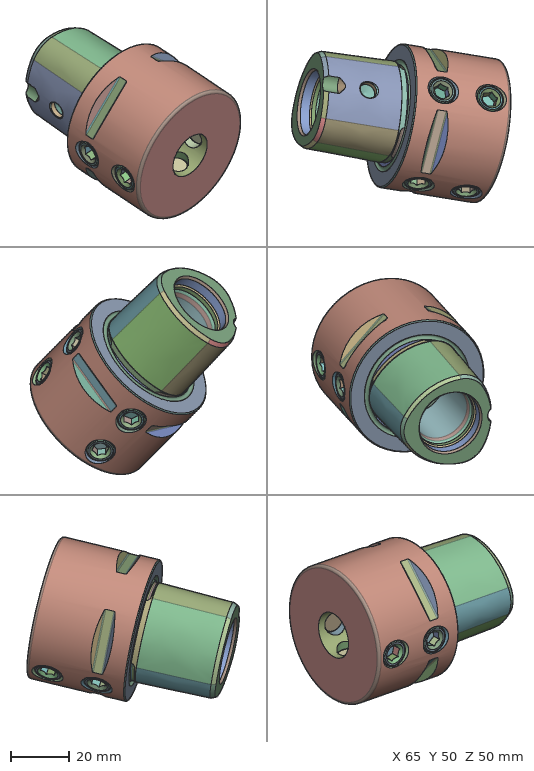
import cadquery as cq
import math

FLANGE_RADIUS = 25.0
FLANGE_START = 30.0
TOTAL_LENGTH = 65.0
FRONT_CHAMFER = 0.4
BACK_ROUND = 1.0

LOBE_OFFSET = 7.9
LOBE_RADIUS = 10.75
LOBE_ANGLES = (60, 180, 300)
LOBE_HALF_ANGLE = 30
FLANK_RADIUS = LOBE_RADIUS + 2 * LOBE_OFFSET * math.cos(math.radians(LOBE_HALF_ANGLE))
FLANK_DISTANCE = FLANK_RADIUS - LOBE_OFFSET
TAPER_ANGLE = math.degrees(math.atan(1 / 40))
GAUGE_X = 28.0
TIP_CHAMFER_LENGTH = 1.6
TIP_CHAMFER_DEPTH = 0.75
NECK_STEP = 0.15

UNDERCUT_INNER_RADIUS = 17.75
UNDERCUT_OUTER_RADIUS = 19.5
UNDERCUT_ROUND = (UNDERCUT_OUTER_RADIUS - UNDERCUT_INNER_RADIUS) / 2

RELIEF_START_X = GAUGE_X
RELIEF_START_RADIUS = 18.6
RELIEF_CONE_END_X = 28.7
RELIEF_CONE_END_RADIUS = 17.85
RELIEF_LAND_X = 29.4
RELIEF_LAND_RADIUS = 17.65

MOUTH_RADIUS = 11.7
MOUTH_CHAMFER = (1.0, 11.2)
LEAD_END = (4.3, 11.2)
SHOULDER_END = (4.8, 10.68)
COLLAR_END = (6.3, 10.68)
THROAT_START = (7.4, 10.2)
THROAT_END = (9.15, 9.9)
STEP_X = FLANGE_START
BORE_RADIUS = 8.25

KEY_NOTCH_RADIUS = 3.45
KEY_NOTCH_Y = -17.3
KEY_NOTCH_LENGTH = 5.4
KEY_NOTCH_POINT_HALF_ANGLE = 45
SIDE_HOLE_RADIUS = 2.95
SIDE_HOLE_X = 16.0
SIDE_HOLE_FLOOR_Y = -14.0
SIDE_HOLE_POINT_HALF_ANGLE = 59
SIDE_HOLE_CHAMFER_Y = -15.8

SLOT_X = 40.0
SLOT_FLOOR_RADIUS = 22.15
SLOT_FLOOR_WIDTH = 3.5
SLOT_WALL_ANGLE = 30
SLOT_FLOOR_ROUND = 0.5
SLOT_ANGLES = (45, 135, 225, 315)

SCREW_XS = (40.0, 57.5)
SCREW_ANGLES = (90, 180, 270)
SCREW_RADIUS = 4.75
SCREW_TOP = 24.4
SCREW_END = 9.5
SCREW_CHAMFER = 0.45
HEX_ACROSS_FLATS = 5.0
HEX_DEPTH = 4.0
HEX_TURNS = (40, 16)
HEX_MOUTH_RADIUS = 3.65
HEX_MOUTH_DEPTH = 2.0
COUNTERSINK_RADIUS = 5.03


def polar(radius, angle):
    """Point at an angle measured from -Y toward +Z."""
    turn = math.radians(angle)
    return (-radius * math.cos(turn), radius * math.sin(turn))


def shank_profile(x, inset):
    """Six-arc polygon at position x, with every arc moved inward by the inset."""
    lobe_radius = LOBE_RADIUS - inset
    joint_along = lobe_radius * math.cos(math.radians(LOBE_HALF_ANGLE))
    joint_across = lobe_radius * math.sin(math.radians(LOBE_HALF_ANGLE))
    joint_radius = math.hypot(LOBE_OFFSET + joint_along, joint_across)
    joint_angle = math.degrees(math.atan2(joint_across, LOBE_OFFSET + joint_along))
    lobe_tip = LOBE_OFFSET + lobe_radius
    flank_middle = FLANK_DISTANCE - inset
    profile = cq.Workplane("YZ", origin=(x, 0, 0))
    profile = profile.moveTo(*polar(joint_radius, LOBE_ANGLES[0] - joint_angle))
    for lobe in LOBE_ANGLES:
        profile = profile.threePointArc(polar(lobe_tip, lobe), polar(joint_radius, lobe + joint_angle))
        next_start = polar(joint_radius, lobe + 120 - joint_angle)
        profile = profile.threePointArc(polar(flank_middle, lobe + 60), next_start)
    return profile.close()


def revolve_about_x(profile):
    """Solid of revolution of a closed X-radius outline about the X axis."""
    return profile.close().revolve(360, (0, 0, 0), (1, 0, 0))


def make_shank():
    taper_length = GAUGE_X - TIP_CHAMFER_LENGTH
    tip_angle = math.degrees(math.atan2(TIP_CHAMFER_DEPTH, TIP_CHAMFER_LENGTH))
    neck = shank_profile(GAUGE_X, NECK_STEP).extrude(FLANGE_START - GAUGE_X)
    relief = revolve_about_x(
        cq.Workplane("XY")
        .moveTo(RELIEF_START_X, RELIEF_START_RADIUS)
        .lineTo(RELIEF_CONE_END_X, RELIEF_CONE_END_RADIUS)
        .lineTo(RELIEF_LAND_X, RELIEF_LAND_RADIUS)
        .lineTo(FLANGE_START, RELIEF_LAND_RADIUS)
        .lineTo(FLANGE_START, RELIEF_START_RADIUS)
    )
    taper = shank_profile(GAUGE_X, 0).extrude(-taper_length, taper=TAPER_ANGLE)
    taper_inset = taper_length * math.tan(math.radians(TAPER_ANGLE))
    tip = shank_profile(TIP_CHAMFER_LENGTH, taper_inset).extrude(-TIP_CHAMFER_LENGTH, taper=tip_angle)
    return neck.cut(relief).union(taper).union(tip)


def make_flange():
    """Flange with a chamfered front rim, a rounded back rim and a half-round undercut around the shank."""
    return revolve_about_x(
        cq.Workplane("XY")
        .moveTo(FLANGE_START, 0)
        .lineTo(FLANGE_START, UNDERCUT_INNER_RADIUS)
        .threePointArc(
            (FLANGE_START + UNDERCUT_ROUND, UNDERCUT_INNER_RADIUS + UNDERCUT_ROUND),
            (FLANGE_START, UNDERCUT_OUTER_RADIUS),
        )
        .lineTo(FLANGE_START, FLANGE_RADIUS - FRONT_CHAMFER)
        .lineTo(FLANGE_START + FRONT_CHAMFER, FLANGE_RADIUS)
        .lineTo(TOTAL_LENGTH - BACK_ROUND, FLANGE_RADIUS)
        .tangentArcPoint((TOTAL_LENGTH, FLANGE_RADIUS - BACK_ROUND), relative=False)
        .lineTo(TOTAL_LENGTH, 0)
    )


def make_bore():
    return revolve_about_x(
        cq.Workplane("XY")
        .moveTo(0, 0)
        .lineTo(0, MOUTH_RADIUS)
        .lineTo(*MOUTH_CHAMFER)
        .lineTo(*LEAD_END)
        .lineTo(*SHOULDER_END)
        .lineTo(*COLLAR_END)
        .lineTo(*THROAT_START)
        .lineTo(*THROAT_END)
        .lineTo(STEP_X, THROAT_END[1])
        .lineTo(STEP_X, BORE_RADIUS)
        .lineTo(TOTAL_LENGTH, BORE_RADIUS)
        .lineTo(TOTAL_LENGTH, 0)
    )


def drilled_hole(radius, depth, point_half_angle):
    """Drill-shaped cutter pointing along +Z from the origin."""
    point_length = radius / math.tan(math.radians(point_half_angle))
    return (
        cq.Workplane("XZ")
        .lineTo(radius, 0)
        .lineTo(radius, depth)
        .lineTo(0, depth + point_length)
        .close()
        .revolve(360, (0, 0, 0), (0, 1, 0))
    )


def make_key_notch():
    drill = drilled_hole(KEY_NOTCH_RADIUS, KEY_NOTCH_LENGTH, KEY_NOTCH_POINT_HALF_ANGLE)
    return drill.rotate((0, 0, 0), (0, 1, 0), 90).translate((0, KEY_NOTCH_Y, 0))


def make_side_hole():
    """Blind drilled hole along +Y with a 45 degree chamfer at its mouth."""
    mouth_y = -FLANK_DISTANCE
    drill = drilled_hole(SIDE_HOLE_RADIUS, SIDE_HOLE_FLOOR_Y - mouth_y, SIDE_HOLE_POINT_HALF_ANGLE)
    chamfer_depth = SIDE_HOLE_CHAMFER_Y - mouth_y
    chamfer = cq.Workplane("XY").circle(SIDE_HOLE_RADIUS + chamfer_depth).extrude(chamfer_depth, taper=45)
    cutter = drill.union(chamfer)
    return cutter.rotate((0, 0, 0), (1, 0, 0), -90).translate((SIDE_HOLE_X, mouth_y, 0))


def make_wrench_slot(angle):
    """Straight slot across the flange with a flat floor, sloped walls and rounded floor corners."""
    depth = FLANGE_RADIUS - SLOT_FLOOR_RADIUS
    half_floor = SLOT_FLOOR_WIDTH / 2
    half_top = half_floor + depth * math.tan(math.radians(SLOT_WALL_ANGLE))
    slot = (
        cq.Workplane("XZ", origin=(SLOT_X, 0, 0))
        .moveTo(-half_floor, SLOT_FLOOR_RADIUS)
        .lineTo(half_floor, SLOT_FLOOR_RADIUS)
        .lineTo(half_top, FLANGE_RADIUS)
        .lineTo(-half_top, FLANGE_RADIUS)
        .close()
        .extrude(FLANGE_RADIUS, both=True)
        .edges("|Y and <Z")
        .fillet(SLOT_FLOOR_ROUND)
    )
    return slot.rotate((0, 0, 0), (1, 0, 0), angle)


def place_radially(tool, x, angle):
    """Move a +Z pointing shape to position x and turn it about the X axis."""
    return tool.translate((x, 0, 0)).rotate((0, 0, 0), (1, 0, 0), angle)


def make_screw_hole():
    """Tapped hole from the bore outward, countersunk at the flange surface."""
    countersink_height = math.sqrt(FLANGE_RADIUS**2 - COUNTERSINK_RADIUS**2)
    countersink_start = countersink_height - (COUNTERSINK_RADIUS - SCREW_RADIUS)
    outer_radius = SCREW_RADIUS + FLANGE_RADIUS - countersink_start
    return (
        cq.Workplane("XZ")
        .lineTo(SCREW_RADIUS, 0)
        .lineTo(SCREW_RADIUS, countersink_start)
        .lineTo(outer_radius, FLANGE_RADIUS)
        .lineTo(0, FLANGE_RADIUS)
        .close()
        .revolve(360, (0, 0, 0), (0, 1, 0))
    )


def make_set_screw(hex_turn):
    """Set screw pointing outward along +Z with a hexagon socket."""
    hex_corner_diameter = HEX_ACROSS_FLATS / math.cos(math.radians(30))
    screw = (
        cq.Workplane("XY", origin=(0, 0, SCREW_END))
        .circle(SCREW_RADIUS)
        .extrude(SCREW_TOP - SCREW_END)
        .faces("<Z or >Z")
        .chamfer(SCREW_CHAMFER)
    )
    socket = (
        cq.Workplane("XY", origin=(0, 0, SCREW_TOP - HEX_DEPTH))
        .polygon(6, hex_corner_diameter)
        .extrude(HEX_DEPTH)
        .rotate((0, 0, 0), (0, 0, 1), hex_turn)
    )
    mouth_plane = cq.Workplane("XY", origin=(0, 0, SCREW_TOP))
    mouth = mouth_plane.circle(HEX_MOUTH_RADIUS).extrude(-HEX_MOUTH_DEPTH, taper=45)
    return screw.cut(socket).cut(mouth)


holder = make_shank().union(make_flange()).cut(make_bore())
holder = holder.cut(make_key_notch()).cut(make_side_hole())
for slot_angle in SLOT_ANGLES:
    holder = holder.cut(make_wrench_slot(slot_angle))
for screw_angle in SCREW_ANGLES:
    for screw_x in SCREW_XS:
        holder = holder.cut(place_radially(make_screw_hole(), screw_x, screw_angle))

set_screws = []
for screw_angle in SCREW_ANGLES:
    for screw_x, hex_turn in zip(SCREW_XS, HEX_TURNS):
        set_screws.append(place_radially(make_set_screw(hex_turn), screw_x, screw_angle).val())

result = cq.Compound.makeCompound([holder.val(), *set_screws])